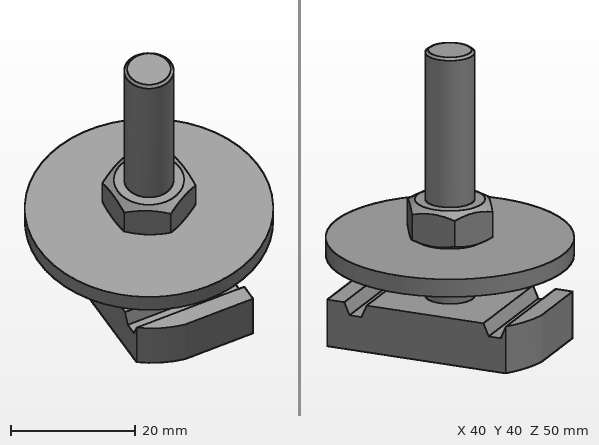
import cadquery as cq
import math

total_height = 50.0
rod_diameter = 8.0
rod_chamfer_height = 0.4
rod_chamfer_width = 0.5

head_length = 34.5
head_width = 19.6
head_height = 8.0
head_corner_radius = 17.25
head_corner_start_x = 14.2
head_corner_end_y = 2.6

groove_offset = 12.25
groove_top_width = 3.95
groove_floor_width = 2.1
groove_depth = 2.1

washer_diameter = 40.0
washer_hole_diameter = 8.4
washer_bottom = 15.0
washer_thickness = 3.0

nut_across_flats = 13.0
nut_height = 6.5
nut_face_diameter = 11.3
nut_chamfer_angle = 30.0


def make_head():
    half_length = head_length / 2
    half_width = head_width / 2
    head = (
        cq.Workplane("XY")
        .moveTo(-half_length, -half_width)
        .lineTo(head_corner_start_x, -half_width)
        .radiusArc((half_length, -head_corner_end_y), -head_corner_radius)
        .lineTo(half_length, half_width)
        .lineTo(-head_corner_start_x, half_width)
        .radiusArc((-half_length, head_corner_end_y), -head_corner_radius)
        .close()
        .extrude(head_height)
    )
    for groove_x in (-groove_offset, groove_offset):
        head = head.cut(make_groove(groove_x))
    return head


def make_groove(center_x):
    floor_z = head_height - groove_depth
    return (
        cq.Workplane("XZ")
        .polyline([
            (center_x - groove_top_width / 2, head_height),
            (center_x - groove_floor_width / 2, floor_z),
            (center_x + groove_floor_width / 2, floor_z),
            (center_x + groove_top_width / 2, head_height),
        ])
        .close()
        .extrude(head_width, both=True)
    )


def make_rod():
    return (
        cq.Workplane("XY")
        .circle(rod_diameter / 2)
        .extrude(total_height)
        .faces(">Z")
        .chamfer(rod_chamfer_height, rod_chamfer_width)
    )


def make_washer():
    return (
        cq.Workplane("XY", origin=(0, 0, washer_bottom))
        .circle(washer_diameter / 2)
        .circle(washer_hole_diameter / 2)
        .extrude(washer_thickness)
    )


def make_nut():
    nut_bottom = washer_bottom + washer_thickness
    nut_top = nut_bottom + nut_height
    across_corners = nut_across_flats / math.cos(math.radians(30))
    hexagon = (
        cq.Workplane("XY", origin=(0, 0, nut_bottom))
        .polygon(6, across_corners)
        .extrude(nut_height)
    )
    face_radius = nut_face_diameter / 2
    corner_radius = across_corners / 2
    cone_height = (corner_radius - face_radius) * math.tan(math.radians(nut_chamfer_angle))
    blank = (
        cq.Workplane("XZ")
        .polyline([
            (0, nut_bottom),
            (face_radius, nut_bottom),
            (corner_radius, nut_bottom + cone_height),
            (corner_radius, nut_top - cone_height),
            (face_radius, nut_top),
            (0, nut_top),
        ])
        .close()
        .revolve(360, (0, 0, 0), (0, 1, 0))
    )
    return hexagon.intersect(blank)


result = make_head().union(make_rod()).union(make_washer()).union(make_nut())